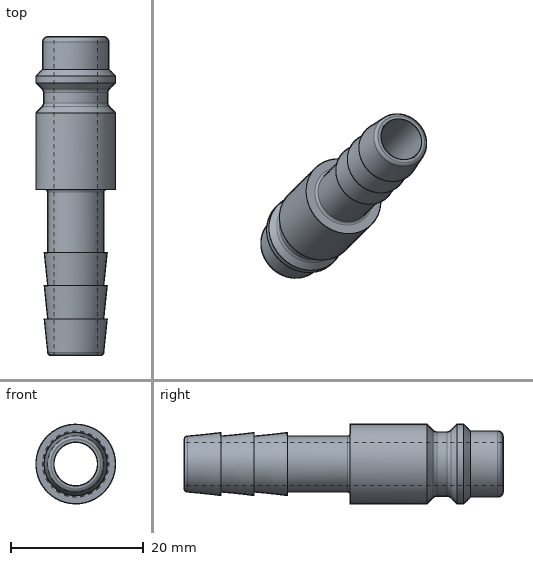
import cadquery as cq
import math

total_length = 48.0
body_radius = 6.0
bore_radius = 3.25

nose_radius = 5.0
nose_round = 0.85
flange_start = 5.95
flange_width = 1.0

groove_floor_radius = 4.85
groove_blend_radius = 0.8
collar_start = 11.45
collar_end = 23.05

tail_radius = 4.2
tail_root_round = 0.4
barb_radius = 4.75
last_barb_start = 42.5
barb_pitch = 5.0
barb_count = 3
tip_round = 0.5

flank_angle = math.radians(45)


def along(station):
    """Y coordinate of a station measured from the plug end."""
    return total_length / 2 - station


def add_nose(outline):
    """Rounded plug nose and the 45 degree rise to the flange."""
    bend = nose_round * math.sin(flank_angle)
    centre_radius = nose_radius - nose_round
    cone_start = flange_start - (body_radius - nose_radius)
    return (
        outline.lineTo(centre_radius, along(0))
        .threePointArc(
            (centre_radius + bend, along(nose_round - bend)),
            (nose_radius, along(nose_round)),
        )
        .lineTo(nose_radius, along(cone_start))
        .lineTo(body_radius, along(flange_start))
    )


def add_groove(outline):
    """Flange rim, then the locking groove up to the collar."""
    flange_end = flange_start + flange_width
    blend_length = groove_blend_radius * math.sin(flank_angle)
    flank_foot_radius = groove_floor_radius + groove_blend_radius * (1 - math.cos(flank_angle))
    flank_length = body_radius - flank_foot_radius
    mid_length = groove_blend_radius * math.sin(flank_angle / 2)
    mid_radius = groove_floor_radius + groove_blend_radius * (1 - math.cos(flank_angle / 2))
    floor_start = flange_end + flank_length + blend_length
    floor_end = collar_start - flank_length - blend_length
    return (
        outline.lineTo(body_radius, along(flange_end))
        .lineTo(flank_foot_radius, along(flange_end + flank_length))
        .threePointArc(
            (mid_radius, along(floor_start - mid_length)),
            (groove_floor_radius, along(floor_start)),
        )
        .lineTo(groove_floor_radius, along(floor_end))
        .threePointArc(
            (mid_radius, along(floor_end + mid_length)),
            (flank_foot_radius, along(collar_start - flank_length)),
        )
        .lineTo(body_radius, along(collar_start))
    )


def add_collar(outline):
    """Straight collar and the concave round at the root of the tail."""
    bend = tail_root_round * (1 - math.sin(flank_angle))
    return (
        outline.lineTo(body_radius, along(collar_end))
        .lineTo(tail_radius + tail_root_round, along(collar_end))
        .threePointArc(
            (tail_radius + bend, along(collar_end + bend)),
            (tail_radius, along(collar_end + tail_root_round)),
        )
    )


def add_barbs(outline):
    """Barbs tapering toward the hose end, finished by a rounded tip."""
    barb_starts = [last_barb_start - barb_pitch * step for step in reversed(range(barb_count))]
    taper_ends = barb_starts[1:] + [total_length - tip_round]
    outline = outline.lineTo(tail_radius, along(barb_starts[0]))
    for start, end in zip(barb_starts, taper_ends):
        outline = (
            outline.lineTo(barb_radius, along(start))
            .lineTo(tail_radius, along(end))
        )
    bend = tip_round * (1 - math.sin(flank_angle))
    return outline.threePointArc(
        (tail_radius - bend, along(total_length - bend)),
        (tail_radius - tip_round, along(total_length)),
    )


profile = cq.Workplane("XY").moveTo(bore_radius, along(0))
for add_section in (add_nose, add_groove, add_collar, add_barbs):
    profile = add_section(profile)
profile = profile.lineTo(bore_radius, along(total_length)).close()

result = profile.revolve(360, (0, 0, 0), (0, 1, 0))